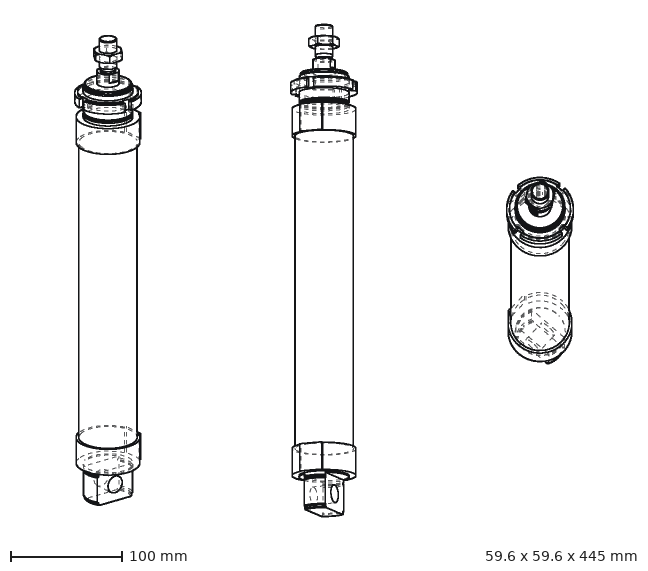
import cadquery as cq
import math

TOTAL_HEIGHT = 445.0
COLLAR_BOTTOM = 32.0
REAR_CAP_BOTTOM = 33.5
CAP_HEIGHT = 25.0
REAR_CAP_TOP = REAR_CAP_BOTTOM + CAP_HEIGHT
HEAD_TOP = 369.5
HEAD_BOTTOM = HEAD_TOP - CAP_HEIGHT
NECK_TOP = 402.0
LOCK_NUT_BOTTOM = 384.0
LOCK_NUT_HEIGHT = 10.0
ROD_SHOULDER = 414.0
ROD_NUT_BOTTOM = 426.0
ROD_NUT_HEIGHT = 8.0

TUBE_DIAMETER = 52.5
CAP_DIAMETER = 57.5
PORT_PAD_WIDTH = 21.5
NECK_DIAMETER = 45.0
RELIEF_DIAMETER = 42.7
NECK_RELIEF_TOP = 375.5
RELIEF_TAPER = 1.1
RELIEF_FLOOR = 1.0
PILOT_HEIGHT = 3.5
PILOT_CHAMFER = 1.0

EYE_THICKNESS = 21.0
EYE_RELIEF_TOP = 30.3
EYE_HOLE_DIAMETER = 16.0
EYE_HOLE_HEIGHT = 16.0

ROD_DIAMETER = 20.0
ROD_ACROSS_FLATS = 17.5
ROD_FLAT_HEIGHT = 8.0
ROD_THREAD_DIAMETER = 16.0
ROD_RELIEF_DIAMETER = 14.0
ROD_TIP_DIAMETER = 14.2
ROD_TIP_HEIGHT = 1.0
ROD_RELIEF_HEIGHT = 2.0
ROD_RELIEF_TAPER = 2.5

ROD_NUT_ACROSS_FLATS = 24.0
ROD_NUT_FACE_DIAMETER = 24.5
ROD_NUT_CHAMFER_ANGLE = 30.0
HEXAGON_SIDES = 6
HEXAGON_HALF_ANGLE = 180 / HEXAGON_SIDES

LOCK_NUT_DIAMETER = 60.0
LOCK_NUT_STEP_WIDTH = 2.5
LOCK_NUT_STEP_HEIGHT = 1.5
LOCK_NUT_SLOT_COUNT = 4
LOCK_NUT_SLOT_WIDTH = 6.5
LOCK_NUT_SLOT_DEPTH = 4.0


def cylinder(diameter, bottom, top):
    """Upright cylinder on the main axis."""
    return cq.Workplane("XY").workplane(offset=bottom).circle(diameter / 2).extrude(top - bottom)


def block(width, depth, bottom, top):
    """Upright rectangular block centred on the main axis."""
    return cq.Workplane("XY").workplane(offset=bottom).rect(width, depth).extrude(top - bottom)


def revolve_profile(points):
    """Solid of revolution about Z from (radius, height) points."""
    return cq.Workplane("XZ").polyline(points).close().revolve(360, (0, 0), (0, 1))


def make_cap(bottom, top):
    """Round cap with a flat port pad tangent to its +Y side."""
    cap_radius = CAP_DIAMETER / 2
    pad = block(PORT_PAD_WIDTH, cap_radius, bottom, top).translate((0, cap_radius / 2, 0))
    return cylinder(CAP_DIAMETER, bottom, top).union(pad)


def make_neck():
    """Threaded neck above the head, with a stepped pilot at its tip and a relief groove at its root."""
    neck_radius = NECK_DIAMETER / 2
    relief_radius = RELIEF_DIAMETER / 2
    pilot_base = NECK_TOP - PILOT_HEIGHT
    floor_top = NECK_RELIEF_TOP - RELIEF_TAPER
    floor_bottom = floor_top - RELIEF_FLOOR
    return revolve_profile([
        (0, HEAD_TOP),
        (neck_radius, HEAD_TOP),
        (neck_radius, floor_bottom - RELIEF_TAPER),
        (relief_radius, floor_bottom),
        (relief_radius, floor_top),
        (neck_radius, NECK_RELIEF_TOP),
        (neck_radius, pilot_base),
        (relief_radius, pilot_base + RELIEF_TAPER),
        (relief_radius, NECK_TOP - PILOT_CHAMFER),
        (relief_radius - PILOT_CHAMFER, NECK_TOP),
        (0, NECK_TOP),
    ])


def make_eye():
    """Rear eye: a turned stub milled to a flat tongue and drilled along X."""
    neck_radius = NECK_DIAMETER / 2
    relief_radius = RELIEF_DIAMETER / 2
    floor_top = EYE_RELIEF_TOP - RELIEF_TAPER
    floor_bottom = floor_top - RELIEF_FLOOR
    stub = revolve_profile([
        (0, 0),
        (relief_radius - PILOT_CHAMFER, 0),
        (relief_radius, PILOT_CHAMFER),
        (relief_radius, PILOT_HEIGHT - RELIEF_TAPER),
        (neck_radius, PILOT_HEIGHT),
        (neck_radius, floor_bottom - RELIEF_TAPER),
        (relief_radius, floor_bottom),
        (relief_radius, floor_top),
        (neck_radius, EYE_RELIEF_TOP),
        (neck_radius, COLLAR_BOTTOM),
        (0, COLLAR_BOTTOM),
    ])
    tongue = stub.intersect(block(EYE_THICKNESS, NECK_DIAMETER, 0, COLLAR_BOTTOM))
    hole = (
        cq.Workplane("YZ")
        .center(0, EYE_HOLE_HEIGHT)
        .circle(EYE_HOLE_DIAMETER / 2)
        .extrude(EYE_THICKNESS, both=True)
    )
    return tongue.cut(hole)


def make_housing():
    """Tube with both end caps, the threaded neck and the rear eye."""
    housing = cylinder(TUBE_DIAMETER, REAR_CAP_BOTTOM, HEAD_TOP)
    housing = housing.union(make_cap(REAR_CAP_BOTTOM, REAR_CAP_TOP))
    housing = housing.union(make_cap(HEAD_BOTTOM, HEAD_TOP))
    housing = housing.union(make_neck())
    housing = housing.union(cylinder(NECK_DIAMETER, COLLAR_BOTTOM, REAR_CAP_BOTTOM))
    return housing.union(make_eye())


def make_rod():
    """Rod end with two wrench flats, a relief groove and a threaded stud."""
    thread_radius = ROD_THREAD_DIAMETER / 2
    relief_radius = ROD_RELIEF_DIAMETER / 2
    relief_top = ROD_SHOULDER + ROD_RELIEF_HEIGHT
    stud = revolve_profile([
        (0, ROD_SHOULDER),
        (relief_radius, ROD_SHOULDER),
        (relief_radius, relief_top),
        (thread_radius, relief_top + ROD_RELIEF_TAPER),
        (thread_radius, TOTAL_HEIGHT - ROD_TIP_HEIGHT),
        (ROD_TIP_DIAMETER / 2, TOTAL_HEIGHT),
        (0, TOTAL_HEIGHT),
    ])
    flats_bottom = ROD_SHOULDER - ROD_FLAT_HEIGHT
    flatted_end = cylinder(ROD_DIAMETER, flats_bottom, ROD_SHOULDER).intersect(
        block(ROD_ACROSS_FLATS, ROD_DIAMETER, flats_bottom, ROD_SHOULDER)
    )
    return cylinder(ROD_DIAMETER, NECK_TOP, flats_bottom).union(flatted_end).union(stud)


def make_rod_nut():
    """Hexagon nut with flats facing +X and -X and its corners chamfered."""
    flat_radius = ROD_NUT_ACROSS_FLATS / 2
    face_radius = ROD_NUT_FACE_DIAMETER / 2
    corner_radius = flat_radius / math.cos(math.radians(HEXAGON_HALF_ANGLE))
    chamfer_height = (corner_radius - face_radius) * math.tan(math.radians(ROD_NUT_CHAMFER_ANGLE))
    top = ROD_NUT_BOTTOM + ROD_NUT_HEIGHT
    hexagon = (
        cq.Workplane("XY")
        .workplane(offset=ROD_NUT_BOTTOM)
        .transformed(rotate=(0, 0, HEXAGON_HALF_ANGLE))
        .polygon(HEXAGON_SIDES, 2 * corner_radius)
        .extrude(ROD_NUT_HEIGHT)
    )
    chamfer_envelope = revolve_profile([
        (0, ROD_NUT_BOTTOM),
        (face_radius, ROD_NUT_BOTTOM),
        (corner_radius, ROD_NUT_BOTTOM + chamfer_height),
        (corner_radius, top - chamfer_height),
        (face_radius, top),
        (0, top),
    ])
    bore = cylinder(ROD_THREAD_DIAMETER, ROD_NUT_BOTTOM, top)
    return hexagon.intersect(chamfer_envelope).cut(bore)


def make_lock_nut():
    """Round slotted nut on the neck, with its upper rim stepped down."""
    radius = LOCK_NUT_DIAMETER / 2
    bore_radius = NECK_DIAMETER / 2
    top = LOCK_NUT_BOTTOM + LOCK_NUT_HEIGHT
    shoulder = top - LOCK_NUT_STEP_HEIGHT
    nut = revolve_profile([
        (bore_radius, LOCK_NUT_BOTTOM),
        (radius, LOCK_NUT_BOTTOM),
        (radius, shoulder),
        (radius - LOCK_NUT_STEP_WIDTH, shoulder),
        (radius - LOCK_NUT_STEP_WIDTH, top),
        (bore_radius, top),
    ])
    slot = block(2 * LOCK_NUT_SLOT_DEPTH, LOCK_NUT_SLOT_WIDTH, LOCK_NUT_BOTTOM, top)
    slot = slot.translate((radius, 0, 0))
    for index in range(LOCK_NUT_SLOT_COUNT):
        nut = nut.cut(slot.rotate((0, 0, 0), (0, 0, 1), index * 360 / LOCK_NUT_SLOT_COUNT))
    return nut


housing = make_housing()
rod = make_rod()
rod_nut = make_rod_nut()
lock_nut = make_lock_nut()

result = cq.Compound.makeCompound([housing.val(), rod.val(), rod_nut.val(), lock_nut.val()])